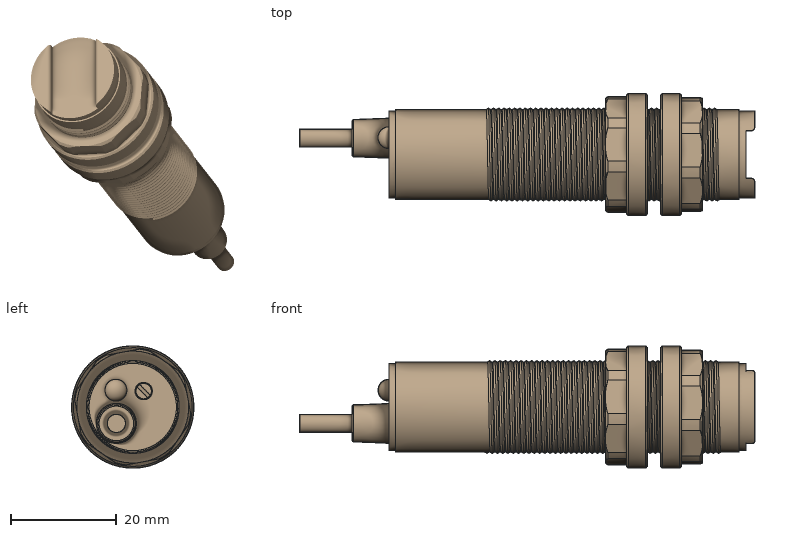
import cadquery as cq
import math

TOTAL_LENGTH = 86.25
GLAND_START = 9.9
HOUSING_START = 16.9
REAR_RIM_LENGTH = 1.3
THREAD_START = 35.0
THREAD_END = 79.9
LENS_LENGTH = 3.0
LENS_START = TOTAL_LENGTH - LENS_LENGTH

BARREL_RADIUS = 8.5
END_RADIUS = 8.3
THREAD_RADIUS = 8.8
THREAD_TURNS = 44
THREAD_ROOT_WIDTH = 0.95
THREAD_EMBED = 0.05

SLOT_WIDTH = 9.0
SLOT_DEPTH = 1.6
SLOT_LIP_RADIUS = 0.7

CABLE_Y = 3.1
CABLE_Z = -3.1
CABLE_RADIUS = 1.7
GLAND_TIP_RADIUS = 3.5
GLAND_BASE_RADIUS = 3.8
GLAND_CHAMFER = 0.3

LAMP_Y = 3.2
LAMP_Z = 3.2
LAMP_RADIUS = 2.1
SCREW_Y = -2.1
SCREW_Z = 3.0
SCREW_HOLE_RADIUS = 1.6
SCREW_HEAD_RADIUS = 1.5
SCREW_RECESS = 0.4
SCREW_SLOT_WIDTH = 0.7
SCREW_SLOT_DEPTH = 0.3
SCREW_SLOT_ANGLE = 45.0

FLANGE_DIAMETER = 23.2
FLANGE_LENGTH = 4.0
FLANGE_CHAMFER = 0.35
GRIP_LENGTH = 4.0
GRIP_SIDES = 8
GRIP_ACROSS_FLATS = 21.1
GRIP_RADIUS = 11.0
GRIP_CHAMFER = 0.4
REAR_NUT_FACE = 65.9
FRONT_NUT_FACE = 68.4
REAR_NUT_TURN = 10.5
FRONT_NUT_TURN = 4.5


def rod(start, end, radius, y=0.0, z=0.0):
    """Round bar along X between two stations."""
    return cq.Workplane("YZ", origin=(start, y, z)).circle(radius).extrude(end - start)


def thread_ridge():
    """Right-handed helical ridge of triangular section that wraps the barrel."""
    root_radius = BARREL_RADIUS - THREAD_EMBED
    half_root = THREAD_ROOT_WIDTH / 2
    height = THREAD_END - THREAD_START - THREAD_ROOT_WIDTH
    path = cq.Wire.makeHelix(height / THREAD_TURNS, height, root_radius)
    ridge = (
        cq.Workplane("XZ")
        .moveTo(root_radius, -half_root)
        .lineTo(THREAD_RADIUS, 0)
        .lineTo(root_radius, half_root)
        .close()
        .sweep(cq.Workplane(path), isFrenet=True)
    )
    along_x = ridge.rotate((0, 0, 0), (0, 1, 0), 90)
    return along_x.translate((THREAD_START + half_root, 0, 0))


def lens():
    """Front lens with a slot along Z whose outer lips are rounded."""
    blank = rod(LENS_START, TOTAL_LENGTH, END_RADIUS)
    half_slot = SLOT_WIDTH / 2
    floor_x = TOTAL_LENGTH - SLOT_DEPTH
    lip_x = TOTAL_LENGTH - SLOT_LIP_RADIUS
    mouth_y = half_slot + SLOT_LIP_RADIUS
    bulge = SLOT_LIP_RADIUS * math.sqrt(0.5)
    slot = (
        cq.Workplane("XY")
        .moveTo(floor_x, -half_slot)
        .lineTo(lip_x, -half_slot)
        .threePointArc((lip_x + bulge, bulge - mouth_y), (TOTAL_LENGTH, -mouth_y))
        .lineTo(TOTAL_LENGTH, mouth_y)
        .threePointArc((lip_x + bulge, mouth_y - bulge), (lip_x, half_slot))
        .lineTo(floor_x, half_slot)
        .close()
        .extrude(END_RADIUS, both=True)
    )
    return blank.cut(slot)


def cable_and_gland():
    """Cable leaving a slightly tapered gland on the rear face."""
    cable = rod(0, GLAND_START, CABLE_RADIUS, CABLE_Y, CABLE_Z)
    gland = (
        cq.Workplane("XY")
        .moveTo(GLAND_START, 0)
        .lineTo(GLAND_START, GLAND_TIP_RADIUS - GLAND_CHAMFER)
        .lineTo(GLAND_START + GLAND_CHAMFER, GLAND_TIP_RADIUS)
        .lineTo(HOUSING_START, GLAND_BASE_RADIUS)
        .lineTo(HOUSING_START, 0)
        .close()
        .revolve(360, (0, 0, 0), (1, 0, 0))
        .translate((0, CABLE_Y, CABLE_Z))
    )
    return cable.union(gland)


def lamp():
    """Domed indicator, a ball half sunk in the rear face."""
    return cq.Workplane("XY").sphere(LAMP_RADIUS).translate((HOUSING_START, LAMP_Y, LAMP_Z))


def screw_recess():
    """Ring around the screw head together with the slot cut in the head."""
    recess_end = HOUSING_START + SCREW_RECESS
    ring = rod(HOUSING_START, recess_end, SCREW_HOLE_RADIUS, SCREW_Y, SCREW_Z).cut(
        rod(HOUSING_START, recess_end, SCREW_HEAD_RADIUS, SCREW_Y, SCREW_Z)
    )
    slot = (
        cq.Workplane("YZ", origin=(HOUSING_START, SCREW_Y, SCREW_Z))
        .transformed(rotate=(0, 0, SCREW_SLOT_ANGLE))
        .rect(2 * SCREW_HEAD_RADIUS, SCREW_SLOT_WIDTH)
        .extrude(SCREW_SLOT_DEPTH)
    )
    return ring.union(slot)


def sensor():
    """Threaded housing with its lens, cable, lamp and adjusting screw."""
    barrel_start = HOUSING_START + REAR_RIM_LENGTH
    body = rod(barrel_start, LENS_START, BARREL_RADIUS)
    body = body.union(thread_ridge())
    body = body.union(rod(HOUSING_START, barrel_start, END_RADIUS))
    body = body.union(lens())
    body = body.union(cable_and_gland())
    body = body.union(lamp())
    return body.cut(screw_recess())


def nut(face_x, direction, turn):
    """Nut whose flange face lies at face_x and whose grip points along direction (+1 or -1)."""
    length = FLANGE_LENGTH + GRIP_LENGTH
    flange = rod(0, FLANGE_LENGTH, FLANGE_DIAMETER / 2).edges().chamfer(FLANGE_CHAMFER)
    corner_diameter = GRIP_ACROSS_FLATS / math.cos(math.pi / GRIP_SIDES)
    flat_to_corner = 180 / GRIP_SIDES
    octagon = (
        cq.Workplane("YZ", origin=(FLANGE_LENGTH, 0, 0))
        .polygon(GRIP_SIDES, corner_diameter)
        .extrude(GRIP_LENGTH)
        .rotate((0, 0, 0), (1, 0, 0), flat_to_corner)
    )
    trim = rod(FLANGE_LENGTH, length, GRIP_RADIUS).faces(">X").edges().chamfer(GRIP_CHAMFER)
    blank = flange.union(octagon.intersect(trim)).cut(rod(0, length, THREAD_RADIUS))
    if direction < 0:
        blank = blank.rotate((0, 0, 0), (0, 0, 1), 180)
    return blank.rotate((0, 0, 0), (1, 0, 0), -turn).translate((face_x, 0, 0))


NUT_PLACES = [
    (REAR_NUT_FACE, -1, REAR_NUT_TURN),
    (FRONT_NUT_FACE, 1, FRONT_NUT_TURN),
]
housing = sensor()
nuts = [nut(face_x, direction, turn) for face_x, direction, turn in NUT_PLACES]

result = cq.Compound.makeCompound([housing.val(), *[each.val() for each in nuts]])